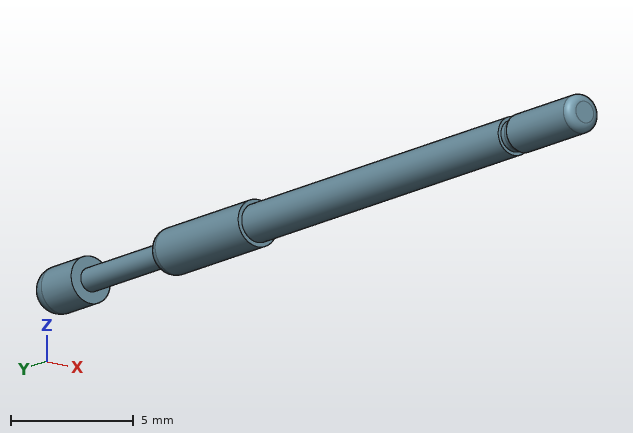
import cadquery as cq
import math

total_length = 36.3
tail_y = -total_length / 2
tip_y = total_length / 2

head_radius = 1.0
head_length = 3.0
rod_radius = 0.5

barrel_radius = 0.815
collar_radius = head_radius
collar_front_radius = 0.8
collar_front_y = tip_y - 8.25
collar_nose_length = 0.45
collar_length = 6.03
tail_fillet = 0.35

groove_depth = 0.15
groove_y = tail_y + 4.75
groove_floor_length = 0.2
groove_flank_length = 0.33

diagonal = math.sqrt(0.5)


def make_plunger():
    """Rod and head, with the rod reaching back into the collar."""
    rod_start_y = collar_front_y - collar_nose_length
    dome_y = tip_y - head_radius
    profile = (
        cq.Workplane("XY")
        .moveTo(0, rod_start_y)
        .lineTo(rod_radius, rod_start_y)
        .lineTo(rod_radius, tip_y - head_length)
        .lineTo(head_radius, tip_y - head_length)
        .lineTo(head_radius, dome_y)
        .threePointArc((head_radius * diagonal, dome_y + head_radius * diagonal), (0, tip_y))
        .close()
    )
    return profile.revolve(360, (0, 0), (0, 1))


def make_barrel():
    """Grooved barrel with a rounded tail and a collar with a rounded nose."""
    groove_radius = barrel_radius - groove_depth
    floor_end_y = groove_y - groove_floor_length
    flank_end_y = floor_end_y - groove_flank_length
    collar_back_y = collar_front_y - collar_length
    nose_y = collar_front_y - collar_nose_length

    nose_drop = collar_radius - collar_front_radius
    nose_arc_radius = (nose_drop**2 + collar_nose_length**2) / (2 * nose_drop)
    nose_half_angle = math.asin(collar_nose_length / nose_arc_radius) / 2
    nose_middle = (
        collar_radius - nose_arc_radius * (1 - math.cos(nose_half_angle)),
        nose_y + nose_arc_radius * math.sin(nose_half_angle),
    )

    flank_arc_radius = (groove_depth**2 + groove_flank_length**2) / (2 * groove_depth)
    flank_half_angle = math.asin(groove_flank_length / flank_arc_radius) / 2
    flank_middle = (
        groove_radius + flank_arc_radius * (1 - math.cos(flank_half_angle)),
        floor_end_y - flank_arc_radius * math.sin(flank_half_angle),
    )

    tail_arc_middle = (
        barrel_radius - tail_fillet * (1 - diagonal),
        tail_y + tail_fillet * (1 - diagonal),
    )
    profile = (
        cq.Workplane("XY")
        .moveTo(0, tail_y)
        .lineTo(barrel_radius - tail_fillet, tail_y)
        .threePointArc(tail_arc_middle, (barrel_radius, tail_y + tail_fillet))
        .lineTo(barrel_radius, flank_end_y)
        .threePointArc(flank_middle, (groove_radius, floor_end_y))
        .lineTo(groove_radius, groove_y)
        .lineTo(barrel_radius, groove_y)
        .lineTo(barrel_radius, collar_back_y)
        .lineTo(collar_radius, collar_back_y)
        .lineTo(collar_radius, nose_y)
        .threePointArc(nose_middle, (collar_front_radius, collar_front_y))
        .lineTo(0, collar_front_y)
        .close()
    )
    return profile.revolve(360, (0, 0), (0, 1))


result = make_barrel().union(make_plunger())